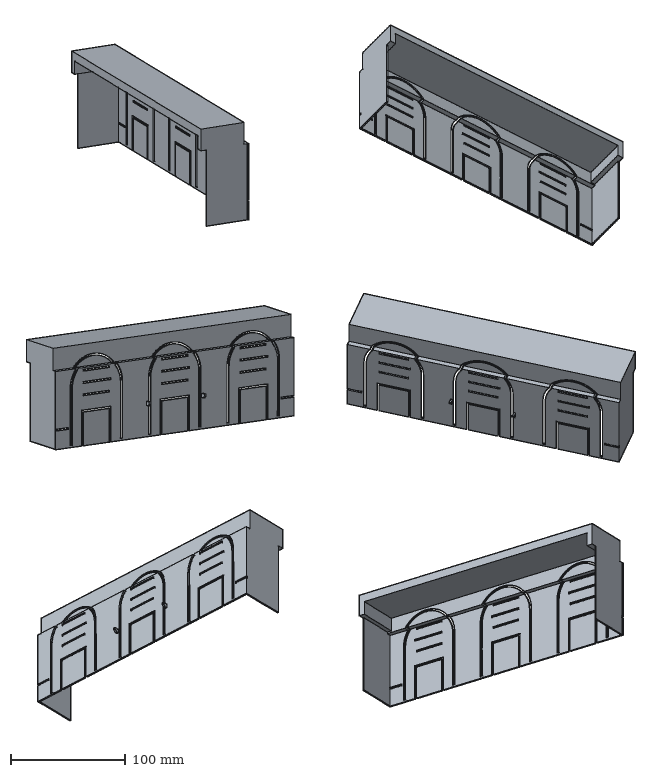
import cadquery as cq

LENGTH = 249.5
HEIGHT = 90.0
SHEET = 1.5
LEFT = -LENGTH / 2
RIGHT = LENGTH / 2

CAP_LENGTH = 249.3
CAP_DEPTH = 42.5
CAP_HEIGHT = 20.0
CAP_SLAB = 7.7
CAP_END = 5.5
CAP_BOTTOM = HEIGHT - CAP_HEIGHT

WALL_BACK = 47.0
WALL_FRONT = WALL_BACK - SHEET
UPPER_WALL_FRONT = CAP_DEPTH - SHEET
PANEL_FRONT = 5.7
PANEL_THICKNESS = 1.2

ARCH_COUNT = 3
ARCH_SPACING = 82.0
ARCH_RADIUS = 27.5
ARCH_SLOT = 2.2
ARCH_UPPER_SLOT = 1.7
ARCH_CENTER_Z = 53.0
ARCH_BOTTOM = 2.0
ARCH_CENTERS = [(i - (ARCH_COUNT - 1) / 2) * ARCH_SPACING for i in range(ARCH_COUNT)]

DOOR_WIDTH = 27.0
DOOR_HEIGHT = 30.2
DOOR_GAP = 1.7

WINDOW_COUNT = 3
WINDOW_WIDTH = 27.0
WINDOW_HEIGHT = 1.5
WINDOW_MIDDLE_Z = 56.6
WINDOW_SPACING = 11.0
LONG_WINDOW_ROW = 1
LONG_WINDOW_EXTENSION = 1.7

END_SLOT_LENGTH = 13.2
END_SLOT_HEIGHT = 1.5
END_SLOT_BOTTOM = 16.7

HOOK_OFFSET = 29.0
HOOK_WIDTH = 1.7
HOOK_REACH = 4.2
HOOK_TOP = 32.0
HOOK_HEIGHT = 3.7
HOOK_CHAMFER = 2.0


def block(x_min, x_max, y_min, y_max, z_min, z_max):
    """Box between the given limits."""
    size = (x_max - x_min, y_max - y_min, z_max - z_min)
    return cq.Workplane("XY").box(*size, centered=False).translate((x_min, y_min, z_min))


def wall_block(x_min, x_max, z_min, z_max):
    """Box as thick as the back wall and lying within it."""
    return block(x_min, x_max, WALL_FRONT, WALL_BACK, z_min, z_max)


def arch_prism(center_x, radius):
    """Round-headed prism that passes through the back wall, the ledge and the upper wall."""
    return (
        cq.Workplane("XZ", origin=(center_x, WALL_BACK, 0))
        .moveTo(-radius, ARCH_BOTTOM)
        .lineTo(-radius, ARCH_CENTER_Z)
        .threePointArc((0, ARCH_CENTER_Z + radius), (radius, ARCH_CENTER_Z))
        .lineTo(radius, ARCH_BOTTOM)
        .close()
        .extrude(WALL_BACK - UPPER_WALL_FRONT)
    )


def arch_slot(center_x, width):
    """Narrow slot around the arch panel, closed at its two feet."""
    return arch_prism(center_x, ARCH_RADIUS).cut(arch_prism(center_x, ARCH_RADIUS - width))


def door_opening(center_x):
    """Opening that leaves an even gap around the sides and top of the door."""
    half_width = DOOR_WIDTH / 2 + DOOR_GAP
    return wall_block(center_x - half_width, center_x + half_width, 0, DOOR_HEIGHT + DOOR_GAP)


def window_slot(center_x, row):
    """One horizontal slot above the door; row 0 is the lowest."""
    center_z = WINDOW_MIDDLE_Z + (row - (WINDOW_COUNT - 1) / 2) * WINDOW_SPACING
    left = center_x - WINDOW_WIDTH / 2
    if row == LONG_WINDOW_ROW:
        left -= LONG_WINDOW_EXTENSION
    return wall_block(
        left,
        center_x + WINDOW_WIDTH / 2,
        center_z - WINDOW_HEIGHT / 2,
        center_z + WINDOW_HEIGHT / 2,
    )


def make_hook(center_x):
    """Hook on the back of the wall, with its lower outer edge cut off at 45 degrees."""
    tip = WALL_BACK + HOOK_REACH
    bottom = HOOK_TOP - HOOK_HEIGHT
    return (
        cq.Workplane("YZ", origin=(center_x - HOOK_WIDTH / 2, 0, 0))
        .moveTo(WALL_BACK, HOOK_TOP)
        .lineTo(tip, HOOK_TOP)
        .lineTo(tip, bottom + HOOK_CHAMFER)
        .lineTo(tip - HOOK_CHAMFER, bottom)
        .lineTo(WALL_BACK, bottom)
        .close()
        .extrude(HOOK_WIDTH)
    )


def make_housing():
    """Roof cap, end panels and the back wall with its slots, openings and hooks."""
    cap_right = LEFT + CAP_LENGTH

    body = block(LEFT, cap_right, 0, CAP_DEPTH, CAP_BOTTOM, HEIGHT)
    body = body.cut(
        block(LEFT + CAP_END, cap_right - CAP_END, 0, UPPER_WALL_FRONT, CAP_BOTTOM, HEIGHT - CAP_SLAB)
    )

    ledge_bottom = CAP_BOTTOM - SHEET
    body = body.union(block(LEFT, cap_right, UPPER_WALL_FRONT, WALL_BACK, ledge_bottom, CAP_BOTTOM))
    body = body.union(block(LEFT, RIGHT, WALL_FRONT, WALL_BACK, 0, CAP_BOTTOM))
    for panel_left in (LEFT, cap_right - PANEL_THICKNESS):
        panel_right = panel_left + PANEL_THICKNESS
        body = body.union(block(panel_left, panel_right, PANEL_FRONT, WALL_FRONT, 0, CAP_BOTTOM))

    below_ledge = wall_block(LEFT, RIGHT, 0, ledge_bottom)
    for center_x in ARCH_CENTERS:
        body = body.cut(arch_slot(center_x, ARCH_UPPER_SLOT))
        body = body.cut(arch_slot(center_x, ARCH_SLOT).intersect(below_ledge))
        body = body.cut(door_opening(center_x))
        for row in range(WINDOW_COUNT):
            body = body.cut(window_slot(center_x, row))

    end_slot_top = END_SLOT_BOTTOM + END_SLOT_HEIGHT
    for slot_left in (LEFT, RIGHT - END_SLOT_LENGTH):
        slot_right = slot_left + END_SLOT_LENGTH
        body = body.cut(wall_block(slot_left, slot_right, END_SLOT_BOTTOM, end_slot_top))

    for center_x in (-HOOK_OFFSET, HOOK_OFFSET):
        body = body.union(make_hook(center_x))
    return body.clean()


def make_door(center_x):
    """Door leaf standing free in its opening."""
    return wall_block(center_x - DOOR_WIDTH / 2, center_x + DOOR_WIDTH / 2, 0, DOOR_HEIGHT)


housing = make_housing()
doors = [make_door(center_x) for center_x in ARCH_CENTERS]

result = cq.Compound.makeCompound([housing.val(), *[door.val() for door in doors]])